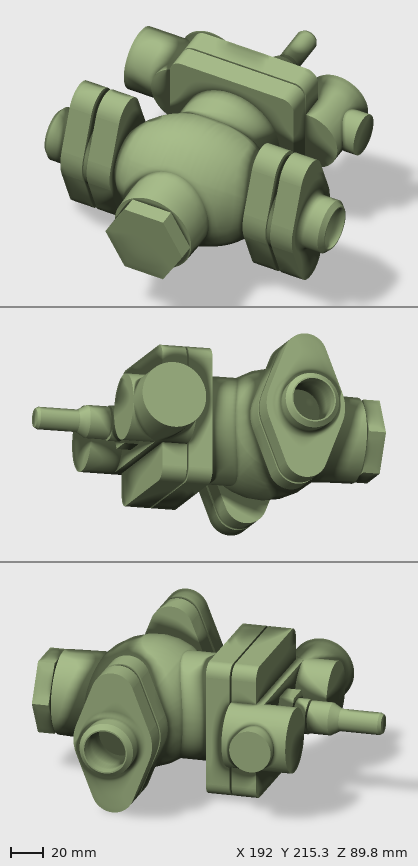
import cadquery as cq
import math


BODY_HALF_LENGTH = 51.9
BODY_RADIUS = 39.5
NECK_RADIUS = 33.0
SQUARE_SIZE = 84.8
SQUARE_CORNER_RADIUS = 8.0
BONNET_BASE_Y = 48.0
BONNET_THICKNESS = 15.0
BONNET_SPACER_RADIUS = 37.7
BONNET_GAP = 1.3
BONNET_TOP_Y = BONNET_BASE_Y + BONNET_THICKNESS
COVER_BASE_Y = BONNET_TOP_Y + BONNET_GAP

INNER_FLANGE_X = 45.6
INNER_FLANGE_THICKNESS = 15.7
FLANGE_GAP = 3.2
OUTER_FLANGE_THICKNESS = 14.9
FLANGE_HALF_HEIGHT = 44.88
FLANGE_TIP_RADIUS = 13.5
FLANGE_WAIST_RADIUS = 25.0
FLANGE_SPACER_RADIUS = 23.5
PIPE_END_X = 96.0
PIPE_RADIUS = 17.0
PIPE_BORE_RADIUS = 13.1
PIPE_BEVEL = 3.0
PIPE_ROOT_FILLET = 3.2
SPACER_X = INNER_FLANGE_X + INNER_FLANGE_THICKNESS
OUTER_FLANGE_X = SPACER_X + FLANGE_GAP
OUTER_FACE_X = OUTER_FLANGE_X + OUTER_FLANGE_THICKNESS

PLUG_END_Y = -67.2
PLUG_HEX_HEIGHT = 10.5
PLUG_HEX_CORNERS = 52.7
PLUG_NECK_RADIUS = 19.8
PLUG_NECK_LENGTH = 1.5
BOSS_END_RADIUS = 26.3
BOSS_ROOT_RADIUS = 27.3
BOSS_ROOT_Y = -23.7
PLUG_HEX_TOP_Y = PLUG_END_Y + PLUG_HEX_HEIGHT
BOSS_END_Y = PLUG_HEX_TOP_Y + PLUG_NECK_LENGTH

COVER_THICKNESS = 15.5
PORT_RADIUS = 20.2
PORT_SPACING = 87.5
SIDE_PIPE_END_X = -82.7
SIDE_STUB_END_X = 71.3
SIDE_STUB_RADIUS = 13.1
PORT_X = PORT_SPACING / 2
PORT_AXIS_Y = COVER_BASE_Y + PORT_RADIUS
PLATE_TOP_Y = PORT_AXIS_Y
COVER_TOP_Y = COVER_BASE_Y + COVER_THICKNESS

OVERALL_LENGTH = 215.3
STEM_HEX_CORNERS = 31.9
STEM_HEX_TOP_Y = 93.6
STEM_COLLAR_RADIUS = 10.8
STEM_COLLAR_TOP_Y = 101.4
STEM_SHOULDER_RADIUS = 10.1
STEM_SHOULDER_BASE_Y = 102.5
STEM_SHOULDER_TOP_Y = 115.5
STEM_TIP_RADIUS = 6.9
STEM_TIP_BASE_Y = 121.5
STEM_TIP_Y = PLUG_END_Y + OVERALL_LENGTH
STEM_TIP_BEVEL_LENGTH = 2.0
STEM_TIP_BEVEL_DEPTH = 1.0


def plane_at_y(y):
    """Sketch plane facing +Y, with local x along X and local y along -Z."""
    return cq.Workplane(cq.Plane((0, y, 0), (1, 0, 0), (0, 1, 0)))


def plane_at_x(x):
    """Sketch plane facing +X, with local x along Y and local y along Z."""
    return cq.Workplane(cq.Plane((x, 0, 0), (0, 1, 0), (1, 0, 0)))


def disc_along_y(x, y_start, y_end, radius):
    return plane_at_y(y_start).center(x, 0).circle(radius).extrude(y_end - y_start)


def hex_along_y(y_start, y_end, across_corners):
    return plane_at_y(y_start).polygon(6, across_corners).extrude(y_end - y_start)


def square_block(y_start, thickness):
    """Square plate on the bonnet axis with rounded corners."""
    block = plane_at_y(y_start).rect(SQUARE_SIZE, SQUARE_SIZE).extrude(thickness)
    return block.edges("|Y").fillet(SQUARE_CORNER_RADIUS)


def bulged_body():
    """Ellipsoid about X, cut off flat where the line flanges meet it."""
    end_radius = BODY_RADIUS * math.sqrt(1 - (INNER_FLANGE_X / BODY_HALF_LENGTH) ** 2)
    end_angle = math.degrees(math.acos(INNER_FLANGE_X / BODY_HALF_LENGTH))
    return (
        cq.Workplane("XY")
        .moveTo(-INNER_FLANGE_X, 0)
        .lineTo(INNER_FLANGE_X, 0)
        .lineTo(INNER_FLANGE_X, end_radius)
        .ellipseArc(BODY_HALF_LENGTH, BODY_RADIUS, end_angle, 180 - end_angle, startAtCurrent=True)
        .close()
        .revolve(360, (0, 0, 0), (1, 0, 0))
    )


def bonnet_flange():
    neck = disc_along_y(0, 0, BONNET_BASE_Y, NECK_RADIUS)
    flange = square_block(BONNET_BASE_Y, BONNET_THICKNESS)
    spacer = disc_along_y(0, BONNET_TOP_Y, COVER_BASE_Y, BONNET_SPACER_RADIUS)
    return neck.union(flange).union(spacer)


def oval_flange(x, thickness):
    """Two-lobed flange: tip arcs above and below, a wider waist arc at each side."""
    tip_centre_z = FLANGE_HALF_HEIGHT - FLANGE_TIP_RADIUS
    flank_sin = (FLANGE_WAIST_RADIUS - FLANGE_TIP_RADIUS) / tip_centre_z
    flank_cos = math.sqrt(1 - flank_sin ** 2)
    waist_y = FLANGE_WAIST_RADIUS * flank_cos
    waist_z = FLANGE_WAIST_RADIUS * flank_sin
    tip_y = FLANGE_TIP_RADIUS * flank_cos
    tip_z = tip_centre_z + FLANGE_TIP_RADIUS * flank_sin
    return (
        plane_at_x(x)
        .moveTo(waist_y, -waist_z)
        .threePointArc((FLANGE_WAIST_RADIUS, 0), (waist_y, waist_z))
        .lineTo(tip_y, tip_z)
        .threePointArc((0, FLANGE_HALF_HEIGHT), (-tip_y, tip_z))
        .lineTo(-waist_y, waist_z)
        .threePointArc((-FLANGE_WAIST_RADIUS, 0), (-waist_y, -waist_z))
        .lineTo(-tip_y, -tip_z)
        .threePointArc((0, -FLANGE_HALF_HEIGHT), (tip_y, -tip_z))
        .close()
        .extrude(thickness)
    )


def welding_end():
    """Bevelled pipe end with a concave root fillet where it leaves the outer flange."""
    bevel_start_x = PIPE_END_X - PIPE_BEVEL
    bevel_radius = PIPE_RADIUS - PIPE_BEVEL
    fillet_start_x = OUTER_FACE_X - PIPE_ROOT_FILLET
    fillet_end_x = OUTER_FACE_X + PIPE_ROOT_FILLET
    root_radius = PIPE_RADIUS + PIPE_ROOT_FILLET
    arc_offset = PIPE_ROOT_FILLET * (1 - math.sqrt(0.5))
    return (
        cq.Workplane("XY")
        .moveTo(fillet_start_x, 0)
        .lineTo(PIPE_END_X, 0)
        .lineTo(PIPE_END_X, bevel_radius)
        .lineTo(bevel_start_x, PIPE_RADIUS)
        .lineTo(fillet_end_x, PIPE_RADIUS)
        .threePointArc((OUTER_FACE_X + arc_offset, PIPE_RADIUS + arc_offset), (OUTER_FACE_X, root_radius))
        .lineTo(fillet_start_x, root_radius)
        .close()
        .revolve(360, (0, 0, 0), (1, 0, 0))
    )


def line_connection():
    """Flange pair, spacer and bored welding end on the +X side."""
    spacer = plane_at_x(SPACER_X).circle(FLANGE_SPACER_RADIUS).extrude(FLANGE_GAP)
    bore = plane_at_x(OUTER_FLANGE_X).circle(PIPE_BORE_RADIUS).extrude(PIPE_END_X - OUTER_FLANGE_X)
    return (
        oval_flange(INNER_FLANGE_X, INNER_FLANGE_THICKNESS)
        .union(spacer)
        .union(oval_flange(OUTER_FLANGE_X, OUTER_FLANGE_THICKNESS))
        .union(welding_end())
        .cut(bore)
    )


def bottom_plug():
    """Tapered boss under the body, closed by a hexagonal plug."""
    boss = (
        cq.Workplane("XY")
        .moveTo(0, BOSS_ROOT_Y)
        .lineTo(BOSS_ROOT_RADIUS, BOSS_ROOT_Y)
        .lineTo(BOSS_END_RADIUS, BOSS_END_Y)
        .lineTo(0, BOSS_END_Y)
        .close()
        .revolve(360, (0, 0, 0), (0, 1, 0))
    )
    neck = disc_along_y(0, PLUG_HEX_TOP_Y, BOSS_END_Y, PLUG_NECK_RADIUS)
    return boss.union(neck).union(hex_along_y(PLUG_END_Y, PLUG_HEX_TOP_Y, PLUG_HEX_CORNERS))


def make_housing():
    connection = line_connection()
    return (
        bulged_body()
        .union(bonnet_flange())
        .union(bottom_plug())
        .union(connection)
        .union(connection.mirror("YZ"))
    )


def pilot_ports():
    """Two upright ports joined by a plate, with a side pipe on one and a stub on the other."""
    plate = cq.Workplane("XY").box(PORT_SPACING, PLATE_TOP_Y - COVER_TOP_Y, 2 * PORT_RADIUS)
    ports = plate.translate((0, (PLATE_TOP_Y + COVER_TOP_Y) / 2, 0))
    for x in (-PORT_X, PORT_X):
        ports = ports.union(disc_along_y(x, COVER_BASE_Y, PORT_AXIS_Y + PORT_RADIUS, PORT_RADIUS))
    side_outlets = (
        (-PORT_X, SIDE_PIPE_END_X, PORT_RADIUS),
        (PORT_X, SIDE_STUB_END_X, SIDE_STUB_RADIUS),
    )
    for start_x, end_x, radius in side_outlets:
        outlet = plane_at_x(start_x).center(PORT_AXIS_Y, 0).circle(radius).extrude(end_x - start_x)
        ports = ports.union(outlet)
    return ports


def spindle():
    """Hexagon at the plate with a stepped round spindle above it."""
    hexagon = hex_along_y(PLATE_TOP_Y, STEM_HEX_TOP_Y, STEM_HEX_CORNERS)
    stem = (
        cq.Workplane("XY")
        .moveTo(0, PLATE_TOP_Y)
        .lineTo(STEM_COLLAR_RADIUS, PLATE_TOP_Y)
        .lineTo(STEM_COLLAR_RADIUS, STEM_COLLAR_TOP_Y)
        .lineTo(STEM_TIP_RADIUS, STEM_COLLAR_TOP_Y)
        .lineTo(STEM_TIP_RADIUS, STEM_SHOULDER_BASE_Y)
        .lineTo(STEM_SHOULDER_RADIUS, STEM_SHOULDER_BASE_Y)
        .lineTo(STEM_SHOULDER_RADIUS, STEM_SHOULDER_TOP_Y)
        .lineTo(STEM_TIP_RADIUS, STEM_TIP_BASE_Y)
        .lineTo(STEM_TIP_RADIUS, STEM_TIP_Y - STEM_TIP_BEVEL_LENGTH)
        .lineTo(STEM_TIP_RADIUS - STEM_TIP_BEVEL_DEPTH, STEM_TIP_Y)
        .lineTo(0, STEM_TIP_Y)
        .close()
        .revolve(360, (0, 0, 0), (0, 1, 0))
    )
    return hexagon.union(stem)


def make_cover():
    return square_block(COVER_BASE_Y, COVER_THICKNESS).union(pilot_ports()).union(spindle())


housing = make_housing()
cover = make_cover()

result = cq.Compound.makeCompound([housing.solids().val(), cover.solids().val()])